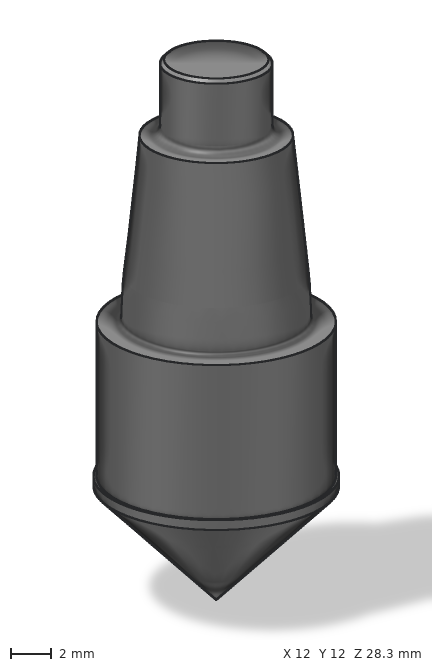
import cadquery as cq
import math

tip_diameter = 12.0
cone_height = tip_diameter / 2
rim_height = 0.5
tip_top = cone_height + rim_height

total_height = 28.3
collar_diameter = 11.7
collar_top = 14.57
blend_top = 17.05
shoulder_level = 24.35

neck_diameter = 9.28
shoulder_diameter = 7.5
neck_fillet = 0.28

spigot_diameter = 5.5
spigot_fillet = 0.48
spigot_chamfer = 0.2


def fillet_middle(radius, level, size):
    """Midpoint of a concave fillet between a cylinder and the flat face at its foot."""
    inset = size * (1 - math.sqrt(0.5))
    return radius + inset, level + inset


def make_tip():
    """Cone with a short cylindrical rim."""
    rim_radius = tip_diameter / 2
    return (
        cq.Workplane("XZ")
        .moveTo(0, 0)
        .lineTo(rim_radius, cone_height)
        .lineTo(rim_radius, tip_top)
        .lineTo(0, tip_top)
        .close()
        .revolve(360, (0, 0), (0, 1))
    )


def make_shank():
    """Collar, tapered neck and spigot, revolved as one stepped profile."""
    collar_radius = collar_diameter / 2
    neck_radius = neck_diameter / 2
    shoulder_radius = shoulder_diameter / 2
    spigot_radius = spigot_diameter / 2

    blend_bottom = collar_top + neck_fillet
    blend_height = blend_top - blend_bottom
    taper_height = shoulder_level - blend_top
    taper_drop = neck_radius - shoulder_radius
    taper_angle = math.atan(taper_drop / (taper_height + blend_height / 2))
    blend_drop = blend_height * math.tan(taper_angle / 2)

    return (
        cq.Workplane("XZ")
        .moveTo(0, tip_top)
        .lineTo(collar_radius, tip_top)
        .lineTo(collar_radius, collar_top)
        .lineTo(neck_radius + neck_fillet, collar_top)
        .threePointArc(
            fillet_middle(neck_radius, collar_top, neck_fillet),
            (neck_radius, blend_bottom),
        )
        .tangentArcPoint((neck_radius - blend_drop, blend_top), relative=False)
        .lineTo(shoulder_radius, shoulder_level)
        .lineTo(spigot_radius + spigot_fillet, shoulder_level)
        .threePointArc(
            fillet_middle(spigot_radius, shoulder_level, spigot_fillet),
            (spigot_radius, shoulder_level + spigot_fillet),
        )
        .lineTo(spigot_radius, total_height - spigot_chamfer)
        .lineTo(spigot_radius - spigot_chamfer, total_height)
        .lineTo(0, total_height)
        .close()
        .revolve(360, (0, 0), (0, 1))
    )


tip = make_tip()
shank = make_shank()

result = cq.Compound.makeCompound([tip.val(), shank.val()])